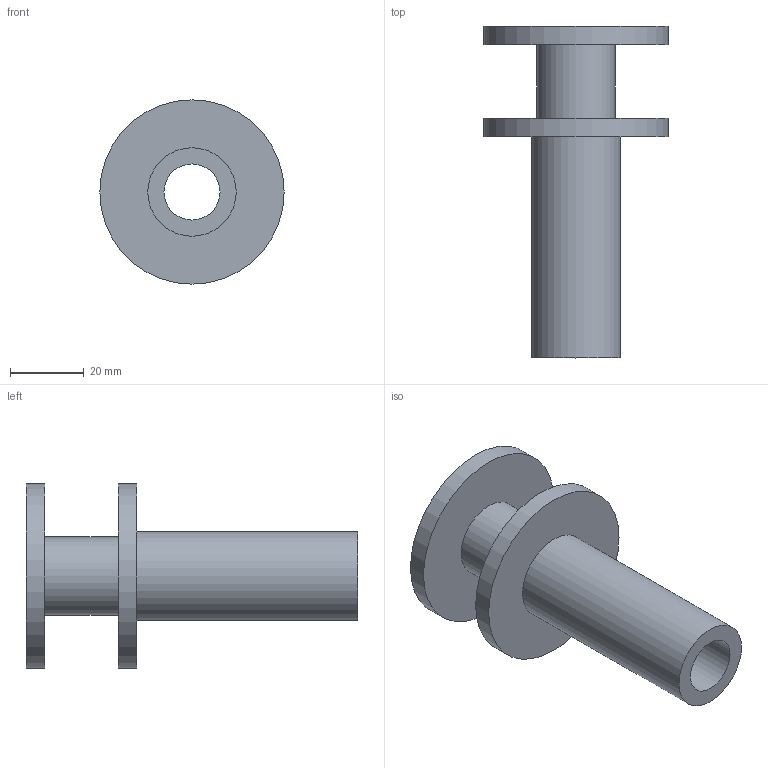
import cadquery as cq

flange_diameter = 50.0
flange_thickness = 5.0
tube_diameter = 24.0
tube_length = 60.0
neck_diameter = 21.2
neck_length = 20.0
bore_diameter = 15.2

front_flange_start = tube_length
neck_start = front_flange_start + flange_thickness
rear_flange_start = neck_start + neck_length
total_length = rear_flange_start + flange_thickness


def cylinder_along_y(diameter, start, length):
    """Solid cylinder centred on the Y axis, running toward +Y from start."""
    base = cq.Workplane("XZ", origin=(0, start, 0))
    return base.circle(diameter / 2).extrude(-length)


tube = cylinder_along_y(tube_diameter, 0, tube_length)
front_flange = cylinder_along_y(flange_diameter, front_flange_start, flange_thickness)
neck = cylinder_along_y(neck_diameter, neck_start, neck_length)
rear_flange = cylinder_along_y(flange_diameter, rear_flange_start, flange_thickness)

bore = cylinder_along_y(bore_diameter, 0, total_length)

result = tube.union(front_flange).union(neck).union(rear_flange).cut(bore)